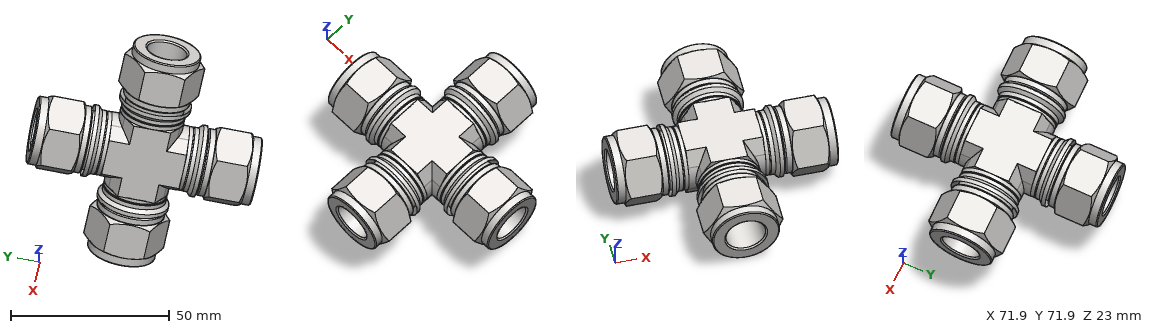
import cadquery as cq
import math

arm_length = 35.95
arm_count = 4

body_diameter = 20.6
body_radius = body_diameter / 2
forging_end_at = 12.5

neck_diameter = 18.9

spigot_diameter = 20.5
groove_start_at = 13.8
groove_end_at = 14.2
groove_diameter = 20.1
flange_diameter = 23.0
flange_face_at = 16.8
flange_end_at = 18.2
flange_cone_length = (flange_diameter - body_diameter) / 2
flange_dish_depth = (flange_diameter - neck_diameter) / 2
flange_cone_start_at = flange_face_at - flange_cone_length

collar_start_at = 18.75
collar_diameter = 21.5
collar_end_diameter = 20.9
collar_chamfer_length = 0.4
hex_start_at = 21.0
hex_end_at = 33.1
hex_across_flats = 22.35
hex_corner_chamfer_angle = 30.0
cap_diameter = 21.8
cap_chamfer = 0.35

socket_diameter = 12.9
socket_depth = 22.85
socket_chamfer = 0.5


def forged_arm():
    """Bar along X: flat top and bottom, 60 degree side flats blending tangentially into round sides."""
    flat_half_width = body_radius * math.tan(math.radians(30))
    tangent_y = body_radius * math.cos(math.radians(30))
    tangent_z = body_radius * math.sin(math.radians(30))
    return (
        cq.Workplane("YZ")
        .moveTo(-flat_half_width, body_radius)
        .lineTo(flat_half_width, body_radius)
        .lineTo(tangent_y, tangent_z)
        .threePointArc((body_radius, 0), (tangent_y, -tangent_z))
        .lineTo(flat_half_width, -body_radius)
        .lineTo(-flat_half_width, -body_radius)
        .lineTo(-tangent_y, -tangent_z)
        .threePointArc((-body_radius, 0), (-tangent_y, tangent_z))
        .close()
        .extrude(forging_end_at, both=True)
    )


def revolve_about_x(stations):
    """Solid of revolution about X from (distance along the arm, diameter) stations."""
    outline = [(stations[0][0], 0)]
    outline += [(distance, diameter / 2) for distance, diameter in stations]
    outline.append((stations[-1][0], 0))
    return cq.Workplane("XY").polyline(outline).close().revolve(360, (0, 0, 0), (1, 0, 0))


def round_arm():
    """All round steps of one arm, from the forging to the outer face of the nut."""
    return revolve_about_x([
        (forging_end_at, spigot_diameter),
        (groove_start_at, spigot_diameter),
        (groove_start_at, groove_diameter),
        (groove_end_at, groove_diameter),
        (groove_end_at, body_diameter),
        (flange_cone_start_at, body_diameter),
        (flange_face_at, flange_diameter),
        (flange_end_at, flange_diameter),
        (flange_end_at - flange_dish_depth, neck_diameter),
        (collar_start_at, neck_diameter),
        (collar_start_at, collar_end_diameter),
        (collar_start_at + collar_chamfer_length, collar_diameter),
        (hex_start_at, collar_diameter),
        (hex_start_at, cap_diameter),
        (arm_length - cap_chamfer, cap_diameter),
        (arm_length, cap_diameter - 2 * cap_chamfer),
    ])


def nut_hexagon():
    """Hexagon with flats facing up and down, its corners turned off conically at both ends."""
    across_corners = hex_across_flats / math.cos(math.radians(30))
    slope = math.tan(math.radians(hex_corner_chamfer_angle))
    start_cone_length = (across_corners - collar_diameter) / 2 * slope
    end_cone_length = (across_corners - cap_diameter) / 2 * slope
    hexagon = (
        cq.Workplane("YZ", origin=(hex_start_at, 0, 0))
        .polygon(6, across_corners)
        .extrude(hex_end_at - hex_start_at)
    )
    turned_envelope = revolve_about_x([
        (hex_start_at, collar_diameter),
        (hex_start_at + start_cone_length, across_corners),
        (hex_end_at - end_cone_length, across_corners),
        (hex_end_at, cap_diameter),
    ])
    return hexagon.intersect(turned_envelope)


def tube_socket():
    """Blind tube socket with a chamfered mouth."""
    return revolve_about_x([
        (arm_length - socket_depth, socket_diameter),
        (arm_length - socket_chamfer, socket_diameter),
        (arm_length, socket_diameter + 2 * socket_chamfer),
    ])


def about_z(shape, angle):
    return shape.rotate((0, 0, 0), (0, 0, 1), angle)


arm = round_arm().union(nut_hexagon())
socket = tube_socket()

result = forged_arm().union(about_z(forged_arm(), 90))
for index in range(arm_count):
    arm_angle = index * 360 / arm_count
    result = result.union(about_z(arm, arm_angle)).cut(about_z(socket, arm_angle))